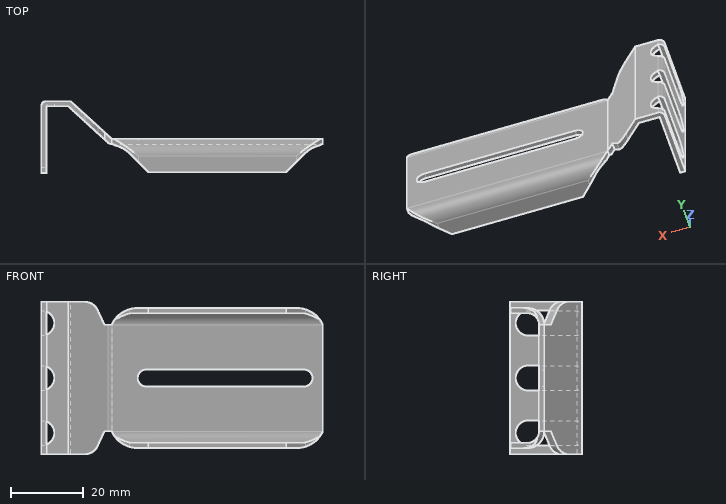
import cadquery as cq
import math

length = 77.5
depth = 19.8
height = 42.0
thickness = 1.5

corner_radius = thickness
slope_start_x = 7.5
plate_start_x = 19.4
plate_back_y = -10.35
plate_front_y = plate_back_y - thickness
plate_half_height = 14.65

shoulder_top_x = 14.5
shoulder_end_x = 17.45
shoulder_radius = 4.0

wall_slot_pitch = 15.1
wall_slot_radius = 3.4
wall_slot_end_y = -14.8
wall_slot_bottom_x = 0.2

plate_slot_start_x = 26.6
plate_slot_end_x = 74.6
plate_slot_width = 4.6

flange_bend_radius = 4.65
flange_end_y = -19.6
flange_tip_inset = 10.1
flange_corner_radius = 8.0
flange_chamfer_rise = 5.2


def bent_strip():
    """Full-height strip following the wall, the webs and the plate."""
    inner_web_y = -thickness
    run = plate_start_x - slope_start_x
    drop = inner_web_y - plate_back_y
    slope = math.atan2(drop, run) + math.asin(thickness / math.hypot(run, drop))
    normal_x = thickness * math.sin(slope)
    normal_y = thickness * math.cos(slope)
    upper_back_x = slope_start_x + thickness * math.tan(slope / 2)
    bend_middle = (
        plate_start_x - thickness * math.sin(slope / 2),
        plate_back_y - thickness * math.cos(slope / 2),
    )
    return (
        cq.Workplane("XY")
        .moveTo(0, -depth)
        .lineTo(thickness, -depth)
        .lineTo(thickness, inner_web_y)
        .lineTo(slope_start_x, inner_web_y)
        .lineTo(plate_start_x - normal_x, plate_back_y - normal_y)
        .threePointArc(bend_middle, (plate_start_x, plate_front_y))
        .lineTo(length, plate_front_y)
        .lineTo(length, plate_back_y)
        .lineTo(plate_start_x, plate_back_y)
        .lineTo(upper_back_x, 0)
        .lineTo(corner_radius, 0)
        .radiusArc((0, -corner_radius), -corner_radius)
        .close()
        .extrude(height / 2, both=True)
    )


def strip_outline():
    """Prism along Y bounding the strip, with the shoulders rounded."""
    half = height / 2
    outline = (
        cq.Workplane("XZ")
        .polyline([
            (0, -half),
            (shoulder_top_x, -half),
            (shoulder_end_x, -plate_half_height),
            (length, -plate_half_height),
            (length, plate_half_height),
            (shoulder_end_x, plate_half_height),
            (shoulder_top_x, half),
            (0, half),
        ])
        .close()
        .extrude(depth)
    )
    shoulders = cq.selectors.BoxSelector(
        (shoulder_top_x - thickness, -depth, -height),
        (shoulder_top_x + thickness, 0, height),
    )
    return outline.edges("|Y").edges(shoulders).fillet(shoulder_radius)


def flange_sheet():
    """Upper flange as a full-length sheet: quarter bend and straight lip."""
    inner_radius = flange_bend_radius - thickness
    centre_y = plate_back_y - flange_bend_radius
    outer_z = plate_half_height + flange_bend_radius
    inner_z = plate_half_height + inner_radius
    return (
        cq.Workplane("YZ", origin=(plate_start_x, 0, 0))
        .moveTo(plate_back_y, plate_half_height)
        .radiusArc((centre_y, outer_z), -flange_bend_radius)
        .lineTo(flange_end_y, outer_z)
        .lineTo(flange_end_y, inner_z)
        .lineTo(centre_y, inner_z)
        .radiusArc((plate_front_y, plate_half_height), inner_radius)
        .close()
        .extrude(length - plate_start_x)
    )


def flange_front_outline():
    """Prism along Y whose upper corners are arcs tangent to the flange top."""
    rise = flange_bend_radius
    run = math.sqrt(2 * flange_corner_radius * rise - rise**2)
    top_z = plate_half_height + rise
    return (
        cq.Workplane("XZ")
        .moveTo(plate_start_x, plate_half_height)
        .radiusArc((plate_start_x + run, top_z), flange_corner_radius)
        .lineTo(length - run, top_z)
        .radiusArc((length, plate_half_height), flange_corner_radius)
        .close()
        .extrude(depth)
    )


def flange_top_outline():
    """Prism along Z: 45 degree ends running into hollow arcs at the plate."""
    tip_left = plate_start_x + flange_tip_inset
    tip_right = length - flange_tip_inset
    bend_left = tip_left - flange_chamfer_rise
    bend_right = tip_right + flange_chamfer_rise
    bend_y = flange_end_y + flange_chamfer_rise
    reach = flange_corner_radius * math.sin(math.pi / 4)
    end_offset = plate_start_x - (bend_left - reach)
    end_y = bend_y - reach + math.sqrt(flange_corner_radius**2 - end_offset**2)
    return (
        cq.Workplane("XY")
        .moveTo(plate_start_x, plate_back_y)
        .lineTo(plate_start_x, end_y)
        .radiusArc((bend_left, bend_y), flange_corner_radius)
        .lineTo(tip_left, flange_end_y)
        .lineTo(tip_right, flange_end_y)
        .lineTo(bend_right, bend_y)
        .radiusArc((length, end_y), flange_corner_radius)
        .lineTo(length, plate_back_y)
        .close()
        .extrude(height / 2)
    )


def wall_slot(centre_z):
    """Round-ended slot through the wall, running out into the back web."""
    reach_x = wall_slot_bottom_x + wall_slot_radius
    width = 2 * wall_slot_radius
    through_wall = (
        cq.Workplane("YZ")
        .center(wall_slot_end_y, centre_z)
        .circle(wall_slot_radius)
        .extrude(thickness)
    )
    along_wall = cq.Workplane("XY").box(
        thickness, -wall_slot_end_y, width, centered=(False, False, True)
    ).translate((0, wall_slot_end_y, centre_z))
    web_bottom = (
        cq.Workplane("XZ")
        .center(wall_slot_bottom_x, centre_z)
        .circle(wall_slot_radius)
        .extrude(reach_x)
    )
    return through_wall.union(along_wall).union(web_bottom)


def plate_slot():
    """Long horizontal slot through the mounting plate."""
    slot_length = plate_slot_end_x - plate_slot_start_x
    return (
        cq.Workplane("XZ", origin=(0, plate_back_y, 0))
        .center((plate_slot_start_x + plate_slot_end_x) / 2, 0)
        .slot2D(slot_length, plate_slot_width)
        .extrude(thickness)
    )


result = bent_strip().intersect(strip_outline())

flange = flange_sheet().intersect(flange_front_outline()).intersect(flange_top_outline())
result = result.union(flange).union(flange.mirror("XY"))

for row in (-1, 0, 1):
    result = result.cut(wall_slot(row * wall_slot_pitch))

result = result.cut(plate_slot())